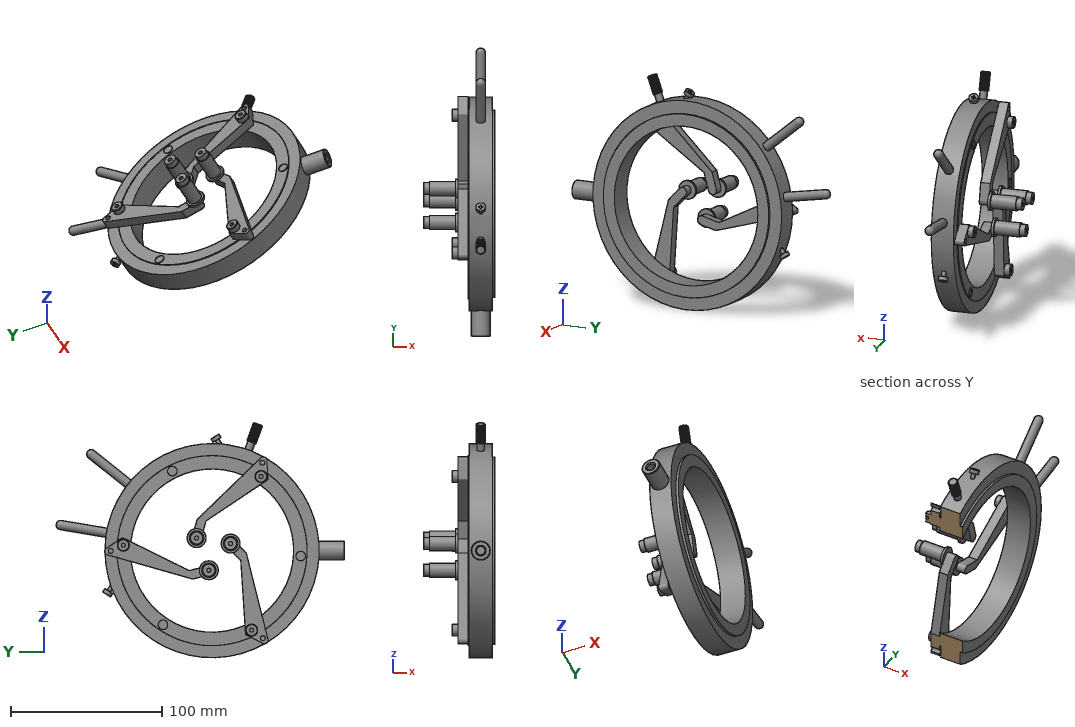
import cadquery as cq
import math


ring_diameter = 142.0
ring_width = 15.3
bore_diameter = 108.0
front_bezel_diameter = 126.0
rear_bezel_diameter = 124.4
front_step = 0.8
rear_step = 1.7
front_x = -ring_width / 2 - front_step
pivot_circle_radius = 58.9
plug_diameter = 6.3
plug_depth = 0.4

arm_count = 3
arm_spacing = 360 / arm_count
arm_thickness = 6.7
arm_face_x = front_x - arm_thickness
pivot_angle = 3.5
tip_hole = (67.0, -0.2)
tip_hole_diameter = 3.2
tip_corner = (74.3, -1.3)
tip_fillet = 2.3
shoulder_corner = (59.2, 8.6)
shoulder_fillet = 0.5
inner_elbow = (15.0, -13.2)
outer_elbow = (12.8, -19.0)
roller_center = (2.1, -13.0)
arm_end_radius = 3.0
screw_head_diameter = 8.0
screw_head_height = 4.0
screw_head_chamfer = 0.4
socket_diameter = 2.7
socket_depth = 2.0

flange_diameter = 12.6
flange_length = 1.7
roller_diameter = 9.5
roller_length = 17.2
cap_diameter = 8.0
cap_length = 3.8

rod_root_radius = 65.0
handle_settings = ((9.6, 104.7), (38.6, 105.5))
handle_diameter = 6.3
post_angle = 180
post_diameter = 12.6
post_reach = 87.7
post_chamfer = 0.4
post_hole_diameter = 5.5
post_hole_depth = 15.3
post_hole_chamfer = 0.8
knob_angle = 110
knob_neck_diameter = 5.2
knob_diameter = 6.5
knob_start = 76.5
knob_reach = 89.2
knob_chamfer = 0.5
knurl_count = 36
knurl_depth = 0.4

clamp_angles = (92, -22)
clamp_tilt = 34
clamp_center_radius = 74.5
clamp_head_diameter = 6.3
clamp_head_height = 2.7
clamp_stem_diameter = 2.9
clamp_stem_length = 7.6
clamp_slot_length = 2.7
clamp_slot_width = 0.8
clamp_slot_depth = 0.8


def polar(radius, angle):
    """(Y, Z) place at a radius and angle about the X axis."""
    return radius * math.cos(math.radians(angle)), radius * math.sin(math.radians(angle))


def disc(center, diameter, x_start, length):
    """Cylinder along X, from x_start towards +X, or towards -X for a negative length."""
    return cq.Workplane("YZ", origin=(x_start, 0, 0)).center(*center).circle(diameter / 2).extrude(length)


def rim_plane(angle, radius, direction=None):
    """Workplane at a place on the rim, facing outwards or along another direction angle."""
    normal = polar(1, angle if direction is None else direction)
    return cq.Workplane(cq.Plane(origin=(0, *polar(radius, angle)), xDir=(1, 0, 0), normal=(0, *normal)))


def rim_rod(angle, diameter, start, end):
    """Radial rod between two distances from the X axis."""
    return rim_plane(angle, start).circle(diameter / 2).extrude(end - start)


def make_ring():
    ring = disc((0, 0), ring_diameter, -ring_width / 2, ring_width)
    front_bezel = disc((0, 0), front_bezel_diameter, front_x, front_step)
    rear_bezel = disc((0, 0), rear_bezel_diameter, ring_width / 2, rear_step)
    bore = disc((0, 0), bore_diameter, front_x, front_step + ring_width + rear_step)
    ring = ring.union(front_bezel).union(rear_bezel).cut(bore)
    for i in range(arm_count):
        plug_center = polar(pivot_circle_radius, pivot_angle + (i + 0.5) * arm_spacing)
        ring = ring.cut(disc(plug_center, plug_diameter, front_x, plug_depth))
    return ring


def make_arm_plate():
    elbow_y = (inner_elbow[0] + outer_elbow[0]) / 2
    elbow_z = (inner_elbow[1] + outer_elbow[1]) / 2
    end_angle = math.degrees(math.atan2(roller_center[1] - elbow_z, roller_center[0] - elbow_y))

    def end_point(turn):
        step_y, step_z = polar(arm_end_radius, end_angle + turn)
        return roller_center[0] + step_y, roller_center[1] + step_z

    plate = (
        cq.Workplane("YZ", origin=(arm_face_x, 0, 0))
        .moveTo(*tip_corner)
        .lineTo(*shoulder_corner)
        .lineTo(*inner_elbow)
        .lineTo(*end_point(-90))
        .threePointArc(end_point(0), end_point(90))
        .lineTo(*outer_elbow)
        .close()
        .extrude(arm_thickness)
    )
    middle_x = arm_face_x + arm_thickness / 2
    for corner, radius in ((tip_corner, tip_fillet), (shoulder_corner, shoulder_fillet)):
        nearest = cq.selectors.NearestToPointSelector((middle_x, *corner))
        plate = plate.edges("|X").edges(nearest).fillet(radius)
    return plate.cut(disc(tip_hole, tip_hole_diameter, arm_face_x, arm_thickness))


def make_pivot_screw():
    center = polar(pivot_circle_radius, pivot_angle)
    head = disc(center, screw_head_diameter, arm_face_x, -screw_head_height)
    head = head.faces("<X").chamfer(screw_head_chamfer)
    return head.cut(disc(center, socket_diameter, arm_face_x - screw_head_height, socket_depth))


def make_roller():
    roller_x = arm_face_x - flange_length
    cap_x = roller_x - roller_length
    roller = disc(roller_center, flange_diameter, arm_face_x, -flange_length)
    roller = roller.union(disc(roller_center, roller_diameter, roller_x, -roller_length))
    roller = roller.union(disc(roller_center, cap_diameter, cap_x, -cap_length))
    return roller.cut(disc(roller_center, socket_diameter, cap_x - cap_length, socket_depth))


def make_handle(angle, reach):
    dome_radius = handle_diameter / 2
    dome_start = reach - dome_radius
    dome = cq.Workplane("XY", origin=(0, *polar(dome_start, angle))).sphere(dome_radius)
    return rim_rod(angle, handle_diameter, rod_root_radius, dome_start).union(dome)


def make_post():
    post = rim_rod(post_angle, post_diameter, rod_root_radius, post_reach).faces("<Y").chamfer(post_chamfer)
    hole = rim_rod(post_angle, post_hole_diameter, post_reach - post_hole_depth, post_reach)
    countersink = (
        rim_plane(post_angle, post_reach)
        .circle(post_hole_diameter / 2 + post_hole_chamfer)
        .workplane(offset=-post_hole_chamfer)
        .circle(post_hole_diameter / 2)
        .loft()
    )
    return post.cut(hole).cut(countersink)


def make_knob():
    neck = rim_rod(knob_angle, knob_neck_diameter, rod_root_radius, knob_start)
    grip = rim_rod(knob_angle, knob_diameter, knob_start, knob_reach)
    grip = grip.faces(">Z").chamfer(knob_chamfer)
    crest_radius = knob_diameter / 2
    profile = [
        polar(crest_radius - knurl_depth * (i % 2), i * 180 / knurl_count) for i in range(2 * knurl_count)
    ]
    ribs = rim_plane(knob_angle, knob_start).polyline(profile).close().extrude(knob_reach - knob_start)
    grip = grip.intersect(ribs)
    return neck.union(grip)


def make_clamp_screw(angle):
    plane = rim_plane(angle, clamp_center_radius, angle - clamp_tilt)
    head_top = clamp_head_height / 2
    head = plane.workplane(offset=-head_top).circle(clamp_head_diameter / 2).extrude(clamp_head_height)
    stem = plane.circle(clamp_stem_diameter / 2).extrude(-head_top - clamp_stem_length)
    slots = plane.workplane(offset=head_top)
    lengthwise = slots.rect(clamp_slot_length, clamp_slot_width).extrude(-clamp_slot_depth)
    crosswise = slots.rect(clamp_slot_width, clamp_slot_length).extrude(-clamp_slot_depth)
    return head.union(stem).cut(lengthwise).cut(crosswise)


result = make_ring()
arm = make_arm_plate().union(make_pivot_screw()).union(make_roller())
for i in range(arm_count):
    result = result.union(arm.rotate((0, 0, 0), (1, 0, 0), i * arm_spacing))
for handle_angle, handle_reach in handle_settings:
    result = result.union(make_handle(handle_angle, handle_reach))
result = result.union(make_post()).union(make_knob())
for clamp_angle in clamp_angles:
    result = result.union(make_clamp_screw(clamp_angle))